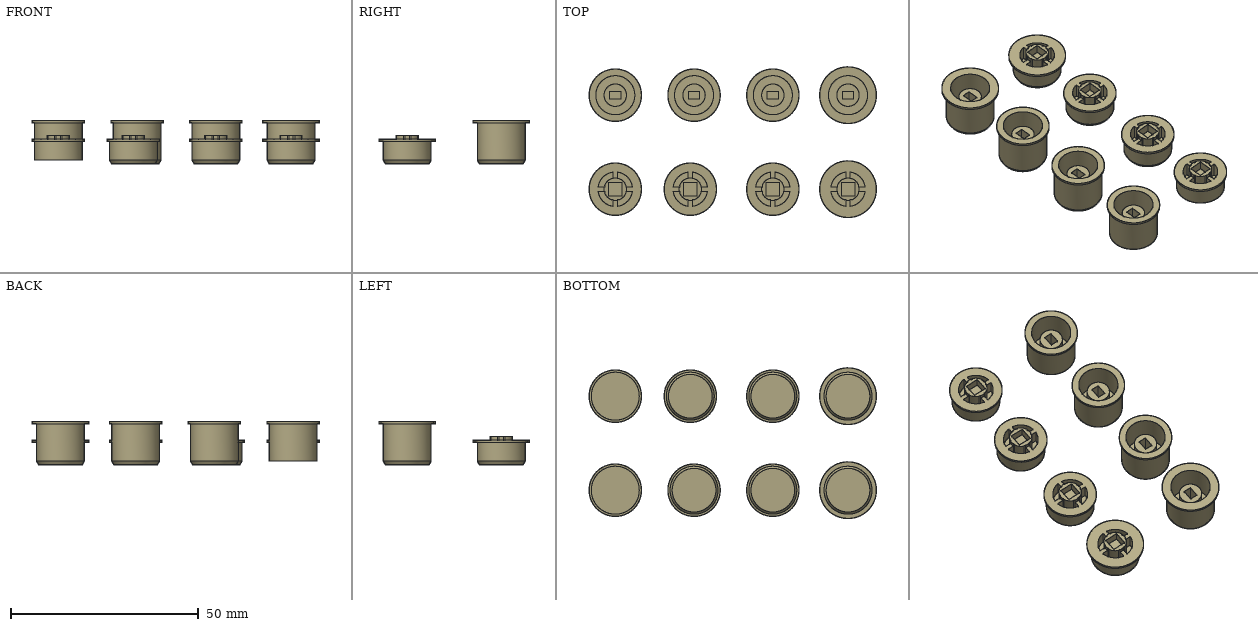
import cadquery as cq

SET_LENGTH = 76.6
ROW_SPACING = 25.05
NARROW_FLANGE = 14.0
WIDE_FLANGE = 15.2
LAST_X = SET_LENGTH - NARROW_FLANGE / 2 - WIDE_FLANGE / 2
THIRD_X = 42.0
CUP_XS = [0, THIRD_X / 2, THIRD_X, LAST_X]
PLUG_XS = [0, 20.0, THIRD_X, LAST_X]
FLANGES = [NARROW_FLANGE, NARROW_FLANGE, NARROW_FLANGE, WIDE_FLANGE]
TAPERED = [False, True, True, True]

BODY_DIAMETER = 12.8
FLANGE_THICKNESS = 0.6
TAPER_HEIGHT = 1.0
TAPER_INSET = 0.575

FLOOR_THICKNESS = 1.5
FLOOR_Z = TAPER_HEIGHT + FLOOR_THICKNESS
STEM_DIAMETER = 6.0

CUP_TOP = 11.6
CUP_BORE = 10.4
CUP_STEM_TOP = 8.35
CUP_SLOT_LENGTH = 3.0
CUP_SLOT_WIDTH = 2.1

PLUG_TOP = 6.6
PLUG_STEM_RISE = 1.0
PLUG_STEM_TOP = PLUG_TOP + PLUG_STEM_RISE
PLUG_POCKET_DIAMETER = 9.2
SOCKET_SIZE = 3.6
SOCKET_DEPTH = 2.5
WEB_WIDTH = 1.15
FLATS_WIDTH = 2.0
FLATS_SPAN = 5.6


def cylinder(diameter, bottom, top):
    return cq.Workplane("XY").workplane(offset=bottom).circle(diameter / 2).extrude(top - bottom)


def box(length, width, bottom, top):
    return cq.Workplane("XY").workplane(offset=bottom).rect(length, width).extrude(top - bottom)


def cross(length, width, bottom, top):
    """Two equal bars crossing on the axis."""
    return box(length, width, bottom, top).union(box(width, length, bottom, top))


def flanged_body(top, flange_diameter, tapered):
    """A solid round body with a flange at its top and, if tapered, a narrowing bottom end."""
    body = cylinder(BODY_DIAMETER, TAPER_HEIGHT, top)
    flange = cylinder(flange_diameter, top - FLANGE_THICKNESS, top)
    if tapered:
        taper = (
            cq.Workplane("XY")
            .circle(BODY_DIAMETER / 2 - TAPER_INSET)
            .workplane(offset=TAPER_HEIGHT)
            .circle(BODY_DIAMETER / 2)
            .loft(ruled=True)
        )
        body = body.union(taper)
    return body.union(flange)


def make_cup(flange_diameter, tapered):
    """A deep cup with a round stem on its floor and a rectangular slot down the stem."""
    bore = cylinder(CUP_BORE, FLOOR_Z, CUP_TOP)
    stem = cylinder(STEM_DIAMETER, FLOOR_Z, CUP_STEM_TOP)
    slot = box(CUP_SLOT_LENGTH, CUP_SLOT_WIDTH, FLOOR_Z, CUP_STEM_TOP)
    return flanged_body(CUP_TOP, flange_diameter, tapered).cut(bore).union(stem).cut(slot)


def make_plug_stem():
    """A round stem with a square socket in its top and shallow flats beside the webs."""
    stem = cylinder(STEM_DIAMETER, FLOOR_Z, PLUG_STEM_TOP)
    flats = (
        cross(STEM_DIAMETER, FLATS_WIDTH, FLOOR_Z, PLUG_STEM_TOP)
        .cut(box(FLATS_SPAN, FLATS_SPAN, FLOOR_Z, PLUG_STEM_TOP))
        .cut(cross(STEM_DIAMETER, WEB_WIDTH, FLOOR_Z, PLUG_STEM_TOP))
    )
    socket = box(SOCKET_SIZE, SOCKET_SIZE, PLUG_STEM_TOP - SOCKET_DEPTH, PLUG_STEM_TOP)
    return stem.cut(flats).cut(socket)


def make_plug(flange_diameter, tapered):
    """A short plug whose round pocket holds a stem tied to the pocket wall by four webs."""
    pocket = cylinder(PLUG_POCKET_DIAMETER, FLOOR_Z, PLUG_TOP)
    stem_space = cylinder(STEM_DIAMETER, FLOOR_Z, PLUG_TOP)
    webs = cross(PLUG_POCKET_DIAMETER, WEB_WIDTH, FLOOR_Z, PLUG_TOP).cut(stem_space)
    plug = flanged_body(PLUG_TOP, flange_diameter, tapered).cut(pocket.cut(webs))
    return plug.union(make_plug_stem())


cups = [
    make_cup(flange, tapered).translate((x, ROW_SPACING, 0)).solids().val()
    for x, flange, tapered in zip(CUP_XS, FLANGES, TAPERED)
]
plugs = [
    make_plug(flange, tapered).translate((x, 0, 0)).solids().val()
    for x, flange, tapered in zip(PLUG_XS, FLANGES, TAPERED)
]

result = cq.Compound.makeCompound([*cups, *plugs])